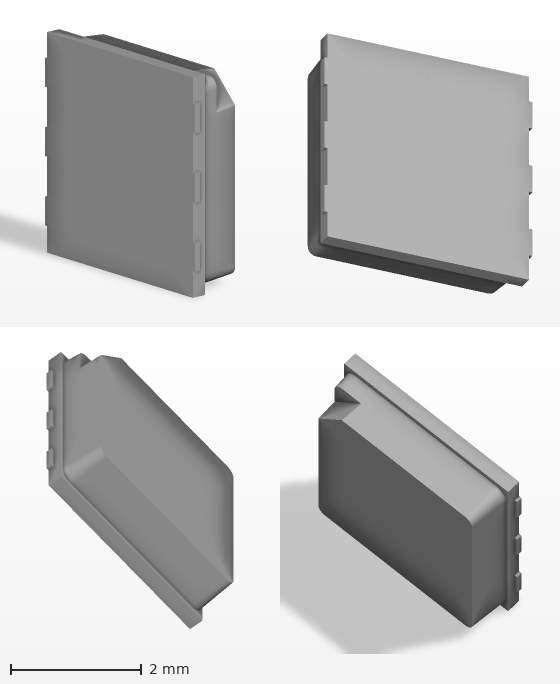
import cadquery as cq

LENGTH = 3.5
DEPTH = 0.95
PLATE_WIDTH = 3.395
PLATE_THICKNESS = 0.25
LID_BASE = 3.297
LID_CORNER_RADIUS = 0.2
LID_DRAFT = 4.7
MARK_LEG_SUM = 2.7
MARK_FLOOR = 0.545

LEAD_THICKNESS = 0.1
LEAD_PITCH = 1.1
LEAD_WIDTH = 0.46
LEAD_END = LENGTH / 2
HALF_WIDTH = LEAD_WIDTH / 2
UPPER_TOP = LEAD_PITCH + HALF_WIDTH
UPPER_BOTTOM = LEAD_PITCH - HALF_WIDTH
LOWER_TOP = -UPPER_BOTTOM
LOWER_BOTTOM = -UPPER_TOP

NECK_LEFT = -1.452
STEP_LEFT = -1.358
NECK_RIGHT = 1.442
SHOULDER_RIGHT = 1.285
INNER_RIGHT = 0.098
CURVE_RADIUS = 0.245
LOWER_INNER_TOP = -0.83
LOWER_TIP = -1.208

NOTCH_X = 0.56
NOTCH_SPACING = 0.588
NOTCH_HALF_BASE = 0.205
SECOND_NOTCH_X = NOTCH_X + NOTCH_SPACING


def notch(center_x, edge_z, half_base, half_tip, tip_z):
    """Corner points, in order of X, of a flat-tipped notch reaching from edge_z to tip_z."""
    return [
        (center_x - half_base, edge_z),
        (center_x - half_tip, tip_z),
        (center_x + half_tip, tip_z),
        (center_x + half_base, edge_z),
    ]


def v_notch(center_x, edge_z, half_base, tip_z):
    """Corner points, in order of X, of a notch with a sharp tip."""
    return [(center_x - half_base, edge_z), (center_x, tip_z), (center_x + half_base, edge_z)]


def front_sketch(x, z):
    """Start of an outline on the front face, at the given X and Z."""
    return cq.Workplane("XZ").moveTo(x, z)


def upper_left_outline():
    inner_x = -0.648
    foot_z = 0.777
    notch_x = -0.95
    notch_half_base = 0.215
    tip_z = 1.225
    return (
        front_sketch(-LEAD_END, UPPER_BOTTOM)
        .lineTo(-LEAD_END, UPPER_TOP)
        .polyline(v_notch(notch_x, UPPER_TOP, notch_half_base, tip_z), includeCurrent=True)
        .lineTo(inner_x, UPPER_TOP)
        .lineTo(inner_x, foot_z)
        .lineTo(STEP_LEFT, foot_z)
        .lineTo(STEP_LEFT, UPPER_BOTTOM)
        .close()
    )


def upper_right_outline():
    inner_x = -0.203
    tip_z = 1.235
    return (
        front_sketch(inner_x, UPPER_BOTTOM)
        .lineTo(inner_x, UPPER_TOP)
        .polyline(v_notch(NOTCH_X, UPPER_TOP, NOTCH_HALF_BASE, tip_z), includeCurrent=True)
        .polyline(v_notch(SECOND_NOTCH_X, UPPER_TOP, NOTCH_HALF_BASE, tip_z), includeCurrent=True)
        .lineTo(LEAD_END, UPPER_TOP)
        .lineTo(LEAD_END, UPPER_BOTTOM)
        .close()
    )


def middle_left_outline():
    shelf_z = 0.308
    top_z = 0.438
    tab_x = 0.252
    lower_z = -0.45
    foot_z = -0.53
    corner = 0.063
    shelf_start_x = -1.405
    rise_start_x = -0.37
    rise_end_x = -0.17
    tab_z = 0.33
    tab_curve_end_z = 0.122
    foot_end_x = -0.75
    foot_slope_end_x = -0.602
    step_z = -0.322
    return (
        front_sketch(-LEAD_END, -HALF_WIDTH)
        .lineTo(-LEAD_END, HALF_WIDTH)
        .lineTo(NECK_LEFT, HALF_WIDTH)
        .lineTo(shelf_start_x, shelf_z)
        .lineTo(rise_start_x, shelf_z)
        .radiusArc((rise_end_x, top_z), -CURVE_RADIUS)
        .lineTo(tab_x, top_z)
        .lineTo(tab_x, tab_z)
        .radiusArc((INNER_RIGHT, tab_curve_end_z), -CURVE_RADIUS)
        .lineTo(INNER_RIGHT, lower_z + corner)
        .radiusArc((INNER_RIGHT - corner, lower_z), corner)
        .lineTo(foot_slope_end_x, lower_z)
        .lineTo(foot_end_x, foot_z)
        .lineTo(STEP_LEFT, foot_z)
        .lineTo(STEP_LEFT, step_z)
        .lineTo(NECK_LEFT, -HALF_WIDTH)
        .close()
    )


def middle_right_outline():
    inner_x = 0.56
    upper_inner_x = 0.705
    top_z = 0.4
    bottom_z = -0.345
    bottom_end_x = 1.365
    curve_bottom_z = 0.065
    curve_top_z = 0.275
    return (
        front_sketch(LEAD_END, -HALF_WIDTH)
        .lineTo(NECK_RIGHT, -HALF_WIDTH)
        .lineTo(bottom_end_x, bottom_z)
        .lineTo(inner_x, bottom_z)
        .lineTo(inner_x, curve_bottom_z)
        .radiusArc((upper_inner_x, curve_top_z), -CURVE_RADIUS)
        .lineTo(upper_inner_x, top_z)
        .lineTo(SHOULDER_RIGHT, top_z)
        .lineTo(NECK_RIGHT, HALF_WIDTH)
        .lineTo(LEAD_END, HALF_WIDTH)
        .close()
    )


def lower_left_outline():
    inner_x = -0.345
    shelf_z = -0.935
    shelf_start_x = -1.395
    shelf_end_x = -0.63
    slope_end_x = -0.47
    notch_x = -0.75
    notch_half_base = 0.22
    notch_half_tip = 0.03
    edge_notch = notch(notch_x, LOWER_BOTTOM, notch_half_base, notch_half_tip, LOWER_TIP)
    return (
        front_sketch(-LEAD_END, LOWER_BOTTOM)
        .polyline(edge_notch, includeCurrent=True)
        .lineTo(inner_x, LOWER_BOTTOM)
        .lineTo(inner_x, LOWER_INNER_TOP)
        .lineTo(slope_end_x, LOWER_INNER_TOP)
        .lineTo(shelf_end_x, shelf_z)
        .lineTo(shelf_start_x, shelf_z)
        .lineTo(NECK_LEFT, LOWER_TOP)
        .lineTo(-LEAD_END, LOWER_TOP)
        .close()
    )


def lower_right_outline():
    top_z = -0.752
    neck_x = 1.35
    rise_start_x = 0.31
    rise_end_x = 0.41
    rise_radius = 0.1
    first_half_tip = 0.045
    second_half_tip = 0.063
    second_tip = -1.22
    first_notch = notch(NOTCH_X, LOWER_BOTTOM, NOTCH_HALF_BASE, first_half_tip, LOWER_TIP)
    second_notch = notch(SECOND_NOTCH_X, LOWER_BOTTOM, NOTCH_HALF_BASE, second_half_tip, second_tip)
    return (
        front_sketch(INNER_RIGHT, LOWER_BOTTOM)
        .polyline(first_notch, includeCurrent=True)
        .polyline(second_notch, includeCurrent=True)
        .lineTo(LEAD_END, LOWER_BOTTOM)
        .lineTo(LEAD_END, LOWER_TOP)
        .lineTo(neck_x, LOWER_TOP)
        .lineTo(SHOULDER_RIGHT, top_z)
        .lineTo(rise_end_x, top_z)
        .radiusArc((rise_start_x, LOWER_INNER_TOP), rise_radius)
        .lineTo(INNER_RIGHT, LOWER_INNER_TOP)
        .close()
    )


def make_lead(outline):
    """Flat lead from the front face (Y = 0) into the plate."""
    return outline.extrude(-LEAD_THICKNESS)


def make_lid():
    """Drafted square lid whose corner radius shrinks towards its top."""
    lid_height = DEPTH - PLATE_THICKNESS
    base_plane = cq.Plane(origin=(0, PLATE_THICKNESS, 0), xDir=(1, 0, 0), normal=(0, 1, 0))
    base = cq.Sketch().rect(LID_BASE, LID_BASE).vertices().fillet(LID_CORNER_RADIUS)
    return cq.Workplane(base_plane).placeSketch(base).extrude(lid_height, taper=LID_DRAFT)


def make_corner_cut():
    """Prism that takes the +X +Z corner off the upper part of the lid at 45 degrees."""
    reach = LENGTH / 2
    return (
        cq.Workplane("XZ", origin=(0, MARK_FLOOR, 0))
        .polyline([(reach, MARK_LEG_SUM - reach), (reach, reach), (MARK_LEG_SUM - reach, reach)])
        .close()
        .extrude(MARK_FLOOR - DEPTH)
    )


def make_housing(leads):
    """Plate and lid in one piece, with a pocket for every lead."""
    housing = cq.Workplane("XY").box(PLATE_WIDTH, PLATE_THICKNESS, LENGTH, centered=(True, False, True))
    housing = housing.union(make_lid()).cut(make_corner_cut())
    for lead in leads:
        housing = housing.cut(lead)
    return housing


outlines = [
    upper_left_outline(),
    upper_right_outline(),
    middle_left_outline(),
    middle_right_outline(),
    lower_left_outline(),
    lower_right_outline(),
]
leads = [make_lead(outline) for outline in outlines]
housing = make_housing(leads)

result = cq.Compound.makeCompound([housing.val(), *[lead.val() for lead in leads]])